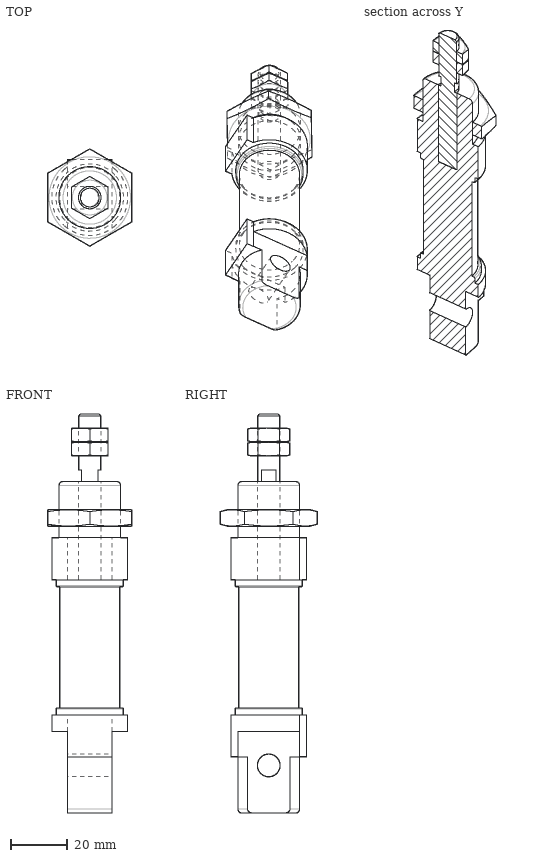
import cadquery as cq
import math

OVERALL_LENGTH = 142.0

CLEVIS_TOP = 20.0
FLATS_TOP = 29.0
CAP_LENGTH = 15.0
COLLAR_LENGTH = 2.5
FRONT_CAP_BOTTOM = 83.0
BOSS_TOP = 118.0
REAR_CAP_TOP = CLEVIS_TOP + CAP_LENGTH
FRONT_CAP_TOP = FRONT_CAP_BOTTOM + CAP_LENGTH

CLEVIS_DIAMETER = 22.0
CAP_DIAMETER = 27.0
COLLAR_DIAMETER = 24.0
TUBE_DIAMETER = 21.4
BOSS_DIAMETER = 22.0
END_FILLET = 1.5
COLLAR_FILLET = 0.5
PORT_PAD_WIDTH = 15.8
CLEVIS_THICKNESS = 16.0
PIVOT_HOLE_DIAMETER = 8.0
PIVOT_HOLE_HEIGHT = 17.0

ROD_DIAMETER = 8.0
ROD_TIP_DIAMETER = 6.65
ROD_BOTTOM = FRONT_CAP_BOTTOM
ROD_FLATS_LENGTH = 4.0
ROD_FLATS_WIDTH = 6.0

ROD_NUT_WIDTH = 13.0
ROD_NUT_HEIGHT = 5.0
ROD_NUT_COUNT = 2
ROD_NUT_FACE_DIAMETER = 12.35
ROD_NUTS_TOP = OVERALL_LENGTH - 5.0
MOUNTING_NUT_WIDTH = 30.0
MOUNTING_NUT_HEIGHT = 6.0
MOUNTING_NUT_FACE_DIAMETER = 29.0
MOUNTING_NUT_BOTTOM = 102.0
NUT_CHAMFER_ANGLE = 15.0


def cylinder(diameter, bottom, top):
    return cq.Workplane("XY").workplane(offset=bottom).circle(diameter / 2).extrude(top - bottom)


def cut_flats(body, width, diameter, bottom, top):
    """Cut two parallel flats on the X sides of a round body, leaving the given width between them."""
    for side in (-1, 1):
        waste = cq.Workplane("XY").box(diameter, 2 * diameter, top - bottom, centered=(True, True, False))
        body = body.cut(waste.translate((side * (width + diameter) / 2, 0, bottom)))
    return body


def end_cap(bottom):
    """Round cap with a port pad on the +Y side, flush with the cap's outermost point."""
    cap = cylinder(CAP_DIAMETER, bottom, bottom + CAP_LENGTH)
    pad = cq.Workplane("XY").box(
        PORT_PAD_WIDTH, CAP_DIAMETER / 2, CAP_LENGTH, centered=(True, False, False)
    )
    return cap.union(pad.translate((0, 0, bottom)))


def make_housing():
    clevis = cylinder(CLEVIS_DIAMETER, 0, CLEVIS_TOP).faces("<Z").edges().fillet(END_FILLET)
    rear_collar = cylinder(COLLAR_DIAMETER, REAR_CAP_TOP, REAR_CAP_TOP + COLLAR_LENGTH)
    rear_collar = rear_collar.faces(">Z").edges().fillet(COLLAR_FILLET)
    tube = cylinder(TUBE_DIAMETER, REAR_CAP_TOP, FRONT_CAP_BOTTOM)
    front_collar = cylinder(COLLAR_DIAMETER, FRONT_CAP_BOTTOM - COLLAR_LENGTH, FRONT_CAP_BOTTOM)
    front_collar = front_collar.faces("<Z").edges().fillet(COLLAR_FILLET)
    boss = cylinder(BOSS_DIAMETER, FRONT_CAP_TOP, BOSS_TOP).faces(">Z").edges().fillet(END_FILLET)

    housing = clevis.union(end_cap(CLEVIS_TOP))
    for section in (rear_collar, tube, front_collar, end_cap(FRONT_CAP_BOTTOM), boss):
        housing = housing.union(section)
    housing = cut_flats(housing, CLEVIS_THICKNESS, CAP_DIAMETER, 0, FLATS_TOP)
    pivot_hole = (
        cq.Workplane("YZ")
        .center(0, PIVOT_HOLE_HEIGHT)
        .circle(PIVOT_HOLE_DIAMETER / 2)
        .extrude(CAP_DIAMETER, both=True)
    )
    rod_bore = cylinder(ROD_DIAMETER, ROD_BOTTOM, BOSS_TOP)
    return housing.cut(pivot_hole).cut(rod_bore)


def make_piston_rod():
    tip_chamfer = (ROD_DIAMETER - ROD_TIP_DIAMETER) / 2
    rod = cylinder(ROD_DIAMETER, ROD_BOTTOM, OVERALL_LENGTH).faces(">Z").edges().chamfer(tip_chamfer)

    flats_top = BOSS_TOP + ROD_FLATS_LENGTH
    return cut_flats(rod, ROD_FLATS_WIDTH, ROD_DIAMETER, BOSS_TOP, flats_top)


def make_hex_nut(width, height, bore, face_diameter, bottom):
    """Hexagon nut with flats facing +X and -X and its corners chamfered at both ends."""
    corner_radius = width / math.sqrt(3)
    face_radius = face_diameter / 2
    corner_drop = (corner_radius - face_radius) * math.tan(math.radians(NUT_CHAMFER_ANGLE))
    hexagon = cq.Workplane("XY").polygon(6, 2 * corner_radius).extrude(height)
    hexagon = hexagon.rotate((0, 0, 0), (0, 0, 1), 30)
    chamfer_envelope = (
        cq.Workplane("XZ")
        .moveTo(0, 0)
        .lineTo(face_radius, 0)
        .lineTo(corner_radius, corner_drop)
        .lineTo(corner_radius, height - corner_drop)
        .lineTo(face_radius, height)
        .lineTo(0, height)
        .close()
        .revolve(360, (0, 0, 0), (0, 1, 0))
    )
    nut = hexagon.intersect(chamfer_envelope).cut(cylinder(bore, 0, height))
    return nut.translate((0, 0, bottom))


housing = make_housing()
piston_rod = make_piston_rod()
mounting_nut = make_hex_nut(
    MOUNTING_NUT_WIDTH,
    MOUNTING_NUT_HEIGHT,
    BOSS_DIAMETER,
    MOUNTING_NUT_FACE_DIAMETER,
    MOUNTING_NUT_BOTTOM,
)
rod_nuts = []
for position in range(ROD_NUT_COUNT):
    nut_bottom = ROD_NUTS_TOP - (position + 1) * ROD_NUT_HEIGHT
    rod_nut = make_hex_nut(
        ROD_NUT_WIDTH, ROD_NUT_HEIGHT, ROD_DIAMETER, ROD_NUT_FACE_DIAMETER, nut_bottom
    )
    rod_nuts.append(rod_nut.val())

result = cq.Compound.makeCompound([housing.val(), piston_rod.val(), mounting_nut.val(), *rod_nuts])